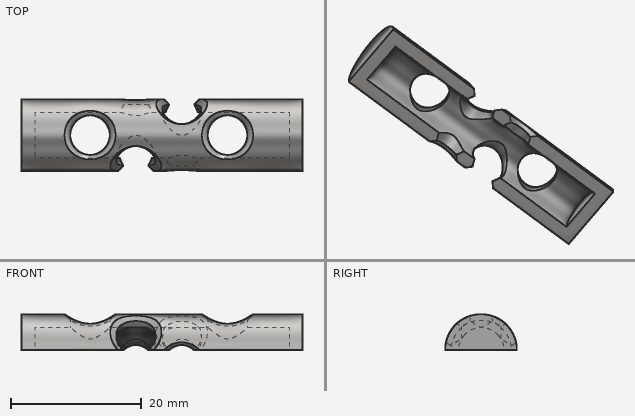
import cadquery as cq

length = 43.0
rod_radius = 5.5
bore_radius = 3.5
end_wall = rod_radius - bore_radius
hole_diameter = 6.0
hole_chamfer = 0.9
first_hole_x = 10.5
hole_pitch = 7.0
hole_tilts = [0, 60, -60, 0]


def make_rod():
    """Full round rod along X."""
    return cq.Workplane("YZ").circle(rod_radius).extrude(length)


def hole_cutter(hole_x, tilt):
    """Volume removed by a hole across the rod with both mouths chamfered."""
    drill = (
        cq.Workplane("XY", origin=(hole_x, 0, 0))
        .circle(hole_diameter / 2)
        .extrude(2 * rod_radius, both=True)
    )
    mouth_zone = cq.selectors.BoxSelector(
        (hole_x - hole_diameter, -rod_radius, -rod_radius),
        (hole_x + hole_diameter, rod_radius, rod_radius),
    )
    mouths = make_rod().cut(drill).edges(mouth_zone).edges("not %LINE")
    cutter = make_rod().cut(mouths.chamfer(hole_chamfer))
    return cutter.rotate((0, 0, 0), (1, 0, 0), tilt)


upper_half = cq.Workplane("XY").box(
    length, 2 * rod_radius, rod_radius, centered=(False, True, False)
)
result = make_rod().intersect(upper_half)

bore = (
    cq.Workplane("YZ", origin=(end_wall, 0, 0))
    .circle(bore_radius)
    .extrude(length - 2 * end_wall)
)
result = result.cut(bore)

for index, tilt in enumerate(hole_tilts):
    result = result.cut(hole_cutter(first_hole_x + index * hole_pitch, tilt))